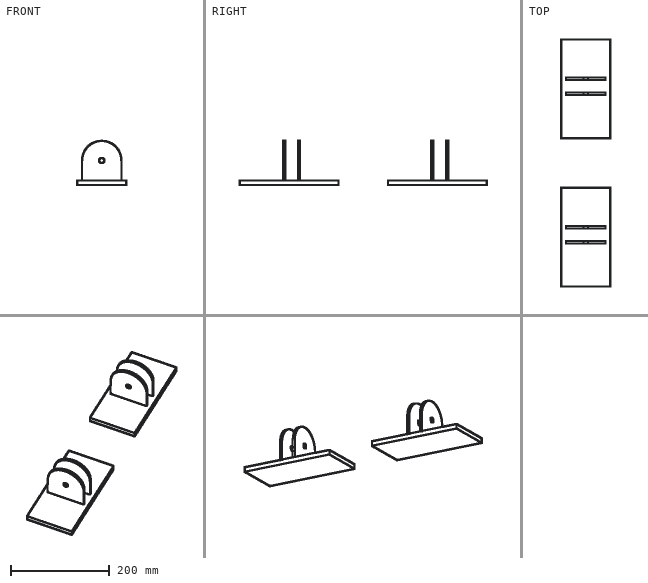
import cadquery as cq

plate_width = 100.0
plate_length = 200.0
plate_thickness = 10.0
bracket_gap = 100.0

lug_width = 80.0
lug_radius = lug_width / 2
lug_straight_height = 40.0
lug_thickness = 5.0
lug_gap = 25.0
lug_pair_offset = 5.0
hole_diameter = 10.0

bracket_pitch = plate_length + bracket_gap
lug_pitch = lug_gap + lug_thickness
hole_height = plate_thickness + lug_straight_height


def make_lug(center_y):
    """Upright lug with a round top and a hole at the centre of its arc."""
    back_face = cq.Plane(
        origin=(0, center_y + lug_thickness / 2, hole_height),
        xDir=(1, 0, 0),
        normal=(0, -1, 0),
    )
    return (
        cq.Workplane(back_face)
        .moveTo(-lug_radius, -lug_straight_height)
        .lineTo(lug_radius, -lug_straight_height)
        .lineTo(lug_radius, 0)
        .threePointArc((0, lug_radius), (-lug_radius, 0))
        .close()
        .extrude(lug_thickness)
        .cut(cq.Workplane(back_face).circle(hole_diameter / 2).extrude(lug_thickness))
    )


def make_bracket(center_y):
    """Base plate with its two lugs, as one solid resting on Z = 0."""
    bracket = cq.Workplane("XY").box(
        plate_width, plate_length, plate_thickness, centered=(True, True, False)
    )
    for side in (-1, 1):
        bracket = bracket.union(make_lug(lug_pair_offset + side * lug_pitch / 2))
    return bracket.translate((0, center_y, 0))


brackets = [make_bracket(side * bracket_pitch / 2) for side in (-1, 1)]

result = cq.Compound.makeCompound([bracket.val() for bracket in brackets])